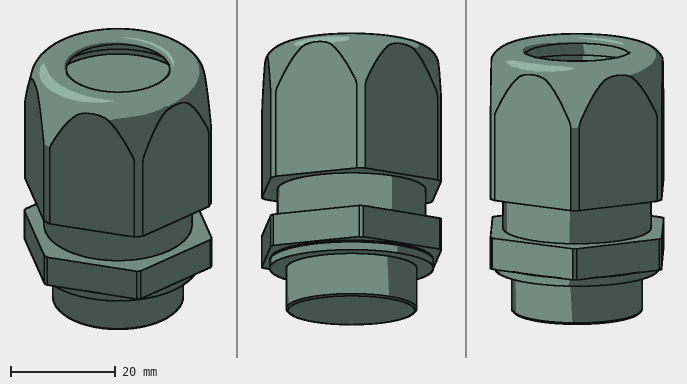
import cadquery as cq
import math

washer_bottom = 8.25
washer_top = 9.85
hex_bottom = 10.15
hex_top = 16.25
nut_bottom = 23.7
seal_top = 46.0
body_top = 47.1
total_height = 51.3

across_flats = 32.8
body_corner_radius = 37.4 / 2
nut_corner_radius = 18.45

thread_radius = 12.5
thread_chamfer = 0.35
collar_radius = 15.5
neck_radius = 14.2
seal_radius = 13.6
washer_radius = 15.7

top_flat_radius = 13.2
rim_round = 3.6
cone_angle = math.radians(12.7)
shoulder_round = 6.65
mouth_radius = 9.9
mouth_round = 1.05
lip_thickness = 1.1


def cylinder(radius, bottom, top):
    return cq.Workplane("XY").workplane(offset=bottom).circle(radius).extrude(top - bottom)


def hexagon(bottom, top):
    """Hexagonal prism with corners on the Y axis."""
    across_corners = across_flats / math.cos(math.pi / 6)
    prism = cq.Workplane("XY").workplane(offset=bottom).polygon(6, across_corners).extrude(top - bottom)
    return prism.rotate((0, 0, 0), (0, 0, 1), 30)


def make_body():
    """Threaded end, collar, rounded-corner hexagon and neck with a seal pocket."""
    thread = cylinder(thread_radius, 0, hex_bottom).faces("<Z").chamfer(thread_chamfer)
    collar = cylinder(collar_radius, washer_top, hex_bottom)
    corners = cylinder(body_corner_radius, hex_bottom, hex_top)
    flange = hexagon(hex_bottom, hex_top).intersect(corners)
    neck = cylinder(neck_radius, hex_top, body_top)
    pocket = cylinder(seal_radius, nut_bottom, body_top)
    return thread.union(collar).union(flange).union(neck).cut(pocket)


def make_washer():
    hole = cylinder(thread_radius, washer_bottom, washer_top)
    return cylinder(washer_radius, washer_bottom, washer_top).cut(hole)


def make_seal():
    return cylinder(seal_radius, nut_bottom, seal_top)


def nut_envelope():
    """Turned shape that rounds the hexagon: cylinder, cone and a rim arc tangent to the cone."""
    arc_center_z = total_height - rim_round

    def rim_point(angle):
        return (top_flat_radius + rim_round * math.cos(angle), arc_center_z + rim_round * math.sin(angle))

    cone_top = rim_point(cone_angle)
    arc_middle = rim_point((cone_angle + math.pi / 2) / 2)
    cone_bottom_z = cone_top[1] - (nut_corner_radius - cone_top[0]) / math.tan(cone_angle)
    tangent_length = shoulder_round * math.tan(cone_angle / 2)
    blend_top = (
        nut_corner_radius - tangent_length * math.sin(cone_angle),
        cone_bottom_z + tangent_length * math.cos(cone_angle),
    )
    blend_bottom_z = cone_bottom_z - tangent_length
    blend_middle = (
        nut_corner_radius - shoulder_round * (1 - math.cos(cone_angle / 2)),
        blend_bottom_z + shoulder_round * math.sin(cone_angle / 2),
    )
    return (
        cq.Workplane("XZ")
        .moveTo(0, nut_bottom)
        .lineTo(nut_corner_radius, nut_bottom)
        .lineTo(nut_corner_radius, blend_bottom_z)
        .threePointArc(blend_middle, blend_top)
        .lineTo(*cone_top)
        .threePointArc(arc_middle, (top_flat_radius, total_height))
        .lineTo(0, total_height)
        .close()
        .revolve(360, (0, 0, 0), (0, 1, 0))
    )


def make_cap_nut():
    """Domed hexagon nut bored for the neck, with a rounded lip around its mouth."""
    nut = hexagon(nut_bottom, total_height).intersect(nut_envelope())
    nut = nut.cut(cylinder(mouth_radius, nut_bottom, total_height))
    nut = nut.faces(">Z").edges("%CIRCLE").edges(cq.selectors.RadiusNthSelector(0)).fillet(mouth_round)
    nut = nut.cut(cylinder(seal_radius, nut_bottom, total_height - lip_thickness))
    return nut.cut(cylinder(neck_radius, nut_bottom, body_top))


body = make_body()
washer = make_washer()
seal = make_seal()
cap_nut = make_cap_nut()

result = cq.Compound.makeCompound([body.val(), washer.val(), seal.val(), cap_nut.val()])